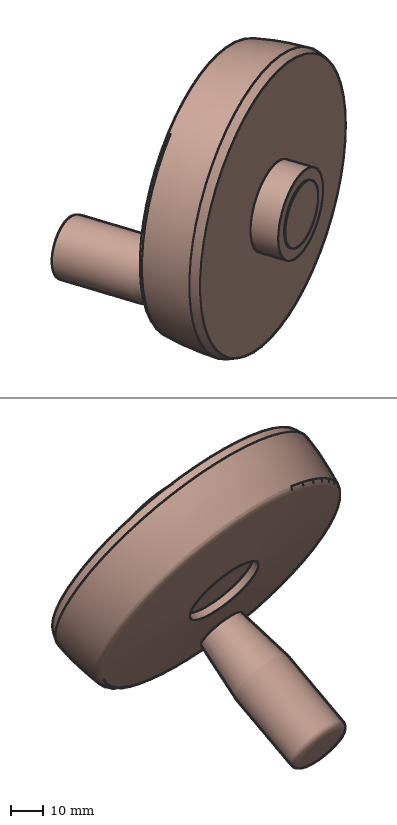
import cadquery as cq
import math


wheel_radius = 50.0
crown_start_radius = 48.0
rear_edge_radius = 48.8
crown_front_x = -20.6
crown_rear_x = -3.1
crown_arc_radius = 90.0
face_edge_x = -22.1
face_edge_radius = 46.2
edge_round_radius = 2.0
face_slope_deg = 3.0

recess_radius = 27.0 / 2
recess_floor_x = -21.0

hub_radius = 30.0 / 2
hub_length = 9.6
pad_radius = 22.0 / 2
pad_height = 0.4
hub_end_x = hub_length + pad_height

overall_length = 82.2
handle_radius = 21.0 / 2
handle_offset = 38.3
handle_round = 2.0
handle_end_x = hub_end_x - overall_length
grip_length = 29.5
neck_radius = 16.0 / 2
neck_x = -21.5


def make_wheel():
    """Solid of revolution: sloping face, rounded edge, crowned tread, hub and pad."""
    apex_x = face_edge_x - face_edge_radius * math.tan(math.radians(face_slope_deg))
    profile = (
        cq.Workplane("XY")
        .moveTo(apex_x, 0)
        .lineTo(face_edge_x, face_edge_radius)
        .radiusArc((crown_front_x, crown_start_radius), edge_round_radius)
        .radiusArc((crown_rear_x, wheel_radius), crown_arc_radius)
        .lineTo(0, rear_edge_radius)
        .lineTo(0, hub_radius)
        .lineTo(hub_length, hub_radius)
        .lineTo(hub_length, pad_radius)
        .lineTo(hub_end_x, pad_radius)
        .lineTo(hub_end_x, 0)
        .close()
    )
    return profile.revolve(360, (0, 0, 0), (1, 0, 0))


def make_recess():
    """Flat-bottomed cutter for the recess, long enough to clear the front face."""
    return cq.Workplane("YZ", origin=(recess_floor_x, 0, 0)).circle(recess_radius).extrude(handle_end_x)


def make_handle():
    """Cylindrical grip with a rounded free end and a neck tapering into the wheel."""
    grip_end_x = handle_end_x + grip_length
    profile = (
        cq.Workplane("XY")
        .moveTo(handle_end_x, 0)
        .lineTo(handle_end_x, handle_radius - handle_round)
        .radiusArc((handle_end_x + handle_round, handle_radius), handle_round)
        .lineTo(grip_end_x, handle_radius)
        .lineTo(neck_x, neck_radius)
        .lineTo(neck_x, 0)
        .close()
    )
    return profile.revolve(360, (0, 0, 0), (1, 0, 0)).translate((0, 0, -handle_offset))


result = make_wheel().cut(make_recess()).union(make_handle())